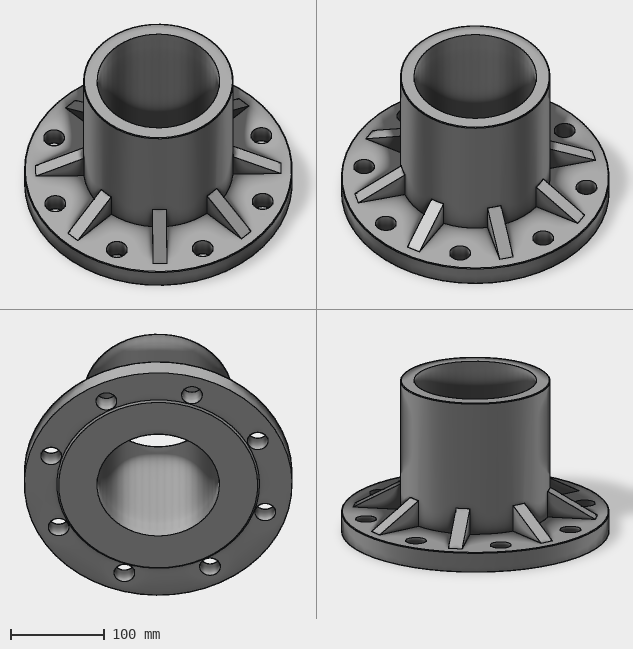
import cadquery as cq

flange_diameter = 286.0
face_diameter = 216.5
face_height = 2.0
face_taper = 45.0
flange_thickness = 22.0
flange_top = face_height + flange_thickness

total_height = 171.0
pipe_diameter = 160.0
bore_diameter = 130.7
edge_chamfer = 1.0

station_count = 8
station_angle = 360 / station_count
bolt_hole_diameter = 22.0
bolt_circle_diameter = 239.7
rib_width = 15.0
rib_height = 28.5
rib_tip_radius = 131.0


def cylinder(diameter, bottom, top):
    """Upright cylinder on the Z axis between two heights."""
    return cq.Workplane("XY").workplane(offset=bottom).circle(diameter / 2).extrude(top - bottom)


def make_rib():
    """Triangular gusset along +X, sloping from the pipe wall to the flange."""
    pipe_radius = pipe_diameter / 2
    root_radius = (pipe_diameter + bore_diameter) / 4
    return (
        cq.Workplane("XZ")
        .moveTo(root_radius, face_height)
        .lineTo(rib_tip_radius, face_height)
        .lineTo(rib_tip_radius, flange_top)
        .lineTo(pipe_radius, flange_top + rib_height)
        .lineTo(root_radius, flange_top + rib_height)
        .close()
        .extrude(rib_width / 2, both=True)
    )


face = (
    cq.Workplane("XY")
    .workplane(offset=face_height)
    .circle(face_diameter / 2)
    .extrude(-face_height, taper=face_taper)
)
flange = cylinder(flange_diameter, face_height, flange_top).faces(">Z").chamfer(edge_chamfer)
pipe = cylinder(pipe_diameter, 0, total_height).faces(">Z").chamfer(edge_chamfer)
body = face.union(flange).union(pipe)

rib = make_rib()
for station in range(station_count):
    body = body.union(rib.rotate((0, 0, 0), (0, 0, 1), (station + 0.5) * station_angle))

bore = cylinder(bore_diameter, 0, total_height)
bolt_holes = (
    cq.Workplane("XY")
    .polarArray(bolt_circle_diameter / 2, 0, 360, station_count)
    .circle(bolt_hole_diameter / 2)
    .extrude(flange_top)
)
result = body.cut(bore).cut(bolt_holes)